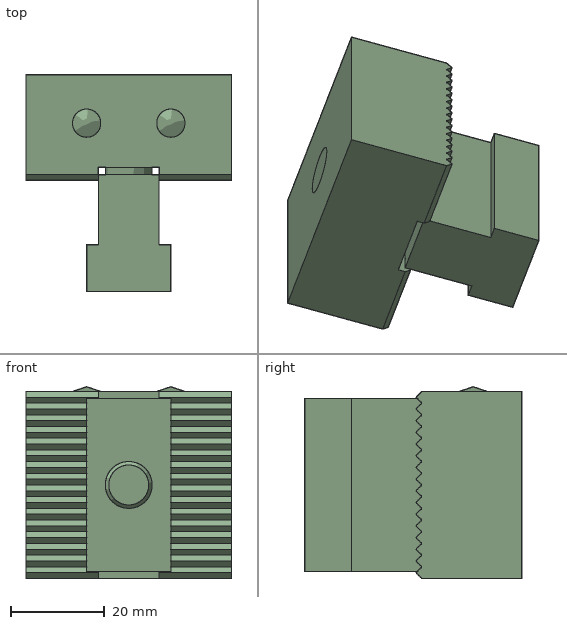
import cadquery as cq

jaw_width = 44.0
jaw_height = 40.0
tooth_root_depth = 21.4
tooth_count = 16
tooth_pitch = jaw_height / tooth_count
tooth_depth = tooth_pitch / 2
slot_depth = 1.55

total_length = 46.4
stem_width = 13.05
head_width = 18.0
head_length = 10.0
nut_height = 37.05
nut_length = total_length - tooth_root_depth

bolt_diameter = 10.0
bolt_chamfer = 0.75
bolt_recess = 1.0
bolt_length = total_length - bolt_recess

pin_diameter = 6.05
pin_tip_height = 1.0
pin_depth = 2 * pin_diameter
pin_spacing = 18.0
pin_inset = 10.4

mid_height = jaw_height / 2


def bolt_rod(length):
    """Cylinder on the bolt axis, from the back face of the jaw toward the front."""
    return cq.Workplane("XZ").center(0, mid_height).circle(bolt_diameter / 2).extrude(length)


def make_bolt():
    return bolt_rod(bolt_length).faces("<Y").chamfer(bolt_chamfer)


def make_pin(x):
    """Cylinder with a conical tip that rises above the jaw."""
    radius = pin_diameter / 2
    profile = (
        cq.Workplane("XZ")
        .moveTo(0, -pin_depth)
        .lineTo(radius, -pin_depth)
        .lineTo(radius, 0)
        .lineTo(0, pin_tip_height)
        .close()
    )
    return profile.revolve(360, (0, 0, 0), (0, 1, 0)).translate((x, -pin_inset, jaw_height))


def make_jaw(pins):
    tooth_tip_depth = tooth_root_depth + tooth_depth

    outline = [(0, 0), (-tooth_root_depth, 0)]
    for tooth in range(tooth_count):
        root_height = tooth * tooth_pitch
        outline.append((-tooth_tip_depth, root_height + tooth_pitch / 2))
        outline.append((-tooth_root_depth, root_height + tooth_pitch))
    outline.append((0, jaw_height))
    jaw = cq.Workplane("YZ").polyline(outline).close().extrude(jaw_width / 2, both=True)

    slot_size = (stem_width, slot_depth + tooth_depth, jaw_height)
    slot = cq.Workplane("XY").box(*slot_size, centered=(True, False, False)).translate((0, -tooth_tip_depth, 0))
    jaw = jaw.cut(slot).cut(bolt_rod(total_length))
    for pin in pins:
        jaw = jaw.cut(pin)
    return jaw


def make_nut():
    bottom = mid_height - nut_height / 2
    stem = cq.Workplane("XY").box(stem_width, nut_length, nut_height, centered=(True, False, False))
    head = cq.Workplane("XY").box(head_width, head_length, nut_height, centered=(True, False, False))
    nut = stem.union(head).translate((0, -total_length, bottom))
    return nut.cut(bolt_rod(total_length))


pins = [make_pin(x) for x in (-pin_spacing / 2, pin_spacing / 2)]
jaw = make_jaw(pins)
nut = make_nut()
bolt = make_bolt()

result = cq.Compound.makeCompound([jaw.val(), nut.val(), bolt.val(), *[pin.val() for pin in pins]])